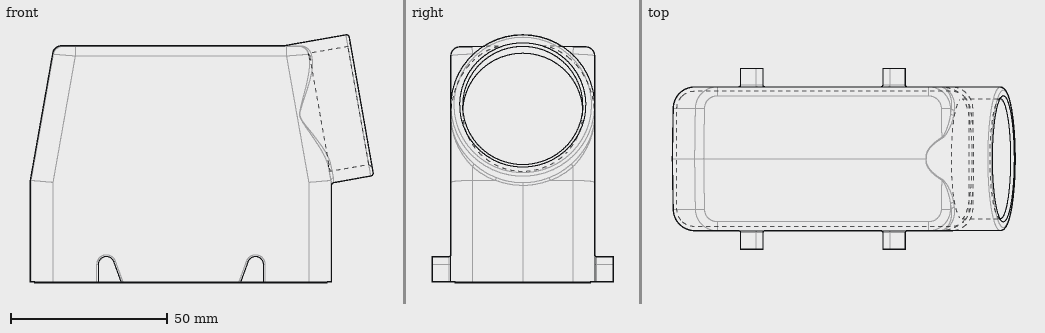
import cadquery as cq
import math

body_length = 96.5
body_width = 46.1
body_height = 75.7
straight_height = 32.5
tilt = 10
draft = 1
corner_radius = 7.0
roof_radius = 3.0

lip_height = 0.3
lip_inset = 1.4

tube_clearance = 0.05
tube_radius = body_width / 2 - tube_clearance
tube_end_x = 57.8
tube_end_z = 56.7
tube_rim_radius = 1.0
bore_radius = 19.2
bore_chamfer = 1.0
joint_radius = 0.9

pin_span = 52.8
pin_tip_width = 58.0
pin_height = 8.1
pin_radius = 2.5
pin_slope = 20
pin_root_radius = 0.5

half_length = body_length / 2
half_width = body_width / 2
tilt_sin = math.sin(math.radians(tilt))
tilt_cos = math.cos(math.radians(tilt))
tilt_tan = math.tan(math.radians(tilt))
overlap = 2.2
roof_margin = 1.1
tolerance = 0.01

wall_to_tube_end = (tube_end_x - half_length) * tilt_cos + (tube_end_z - straight_height) * tilt_sin
tube_root_depth = 11.0
tube_length = wall_to_tube_end + tube_root_depth


def half_body():
    """The -Y half, drafted from the mid plane, with rounded corners and roof edges."""
    roof_half_length = half_length - (body_height - straight_height) * tilt_tan
    half = (
        cq.Workplane("XZ")
        .moveTo(-half_length, -overlap)
        .lineTo(half_length, -overlap)
        .lineTo(half_length, straight_height)
        .lineTo(roof_half_length, body_height)
        .lineTo(-roof_half_length, body_height)
        .lineTo(-half_length, straight_height)
        .close()
        .extrude(half_width, taper=draft)
    )
    below = cq.Workplane("XY").rect(2 * body_length, 2 * body_width).extrude(-2 * overlap)
    half = half.cut(below)
    upright_edges = cq.selectors.BoxSelector(
        (-body_length, -half_width - tolerance, roof_margin),
        (body_length, -half_width + tolerance, body_height - roof_margin),
    )
    half = half.edges(upright_edges).fillet(corner_radius)
    roof = half.faces(cq.selectors.NearestToPointSelector((0, -half_width / 2, body_height)))
    return roof.edges("not(>Y)").fillet(roof_radius)


def tube_plane():
    """Plane of the tube mouth, with its normal pointing out of the tube."""
    return cq.Plane(
        origin=(tube_end_x, 0, tube_end_z),
        xDir=(-tilt_sin, 0, tilt_cos),
        normal=(tilt_cos, 0, tilt_sin),
    )


def lip():
    """Thin rounded plate that stands proud of the base."""
    return (
        cq.Workplane("XY")
        .rect(body_length - 2 * lip_inset, body_width - 2 * lip_inset)
        .extrude(-lip_height)
        .edges("|Z")
        .fillet(corner_radius - lip_inset)
    )


def distance_from_tube_axis(point):
    across = (point.z - tube_end_z) * tilt_cos - (point.x - tube_end_x) * tilt_sin
    return math.hypot(point.y, across)


def runs_around_tube(edge):
    """True for the edges where the tube meets the body, not for its straight seam or its mouth."""
    along = [edge.positionAt(step / 4) for step in (1, 2, 3)]
    on_skin = all(abs(distance_from_tube_axis(point) - tube_radius) < tolerance for point in along)
    behind_mouth = edge.Center().x < half_length
    return on_skin and behind_mouth and edge.geomType() != "LINE"


def add_tube(body):
    """Leaning cable tube with a blended joint, a rounded rim and a chamfered blind bore."""
    tube = cq.Workplane(tube_plane()).circle(tube_radius).extrude(-tube_length)
    tube = tube.faces(">X").edges().fillet(tube_rim_radius)
    joined = body.union(tube)
    joint = [edge for edge in joined.edges().vals() if runs_around_tube(edge)]
    joined = joined.newObject(joint).fillet(joint_radius)
    bore = cq.Workplane(tube_plane()).circle(bore_radius).extrude(-wall_to_tube_end)
    mouth = cq.Solid.makeCone(
        bore_radius + bore_chamfer,
        bore_radius,
        bore_chamfer,
        pnt=tube_plane().origin,
        dir=-tube_plane().zDir,
    )
    return joined.cut(bore).cut(mouth)


def pin_pair():
    """Profile with plumb outer flank, round top and leaning inner flank, run through the solid body."""
    centre_x = pin_radius - pin_span / 2
    centre_z = pin_height - pin_radius
    slope = math.radians(pin_slope)
    flank_x = centre_x + pin_radius * math.cos(slope)
    flank_z = centre_z + pin_radius * math.sin(slope)
    return (
        cq.Workplane("XZ")
        .moveTo(-pin_span / 2, 0)
        .lineTo(-pin_span / 2, centre_z)
        .threePointArc((centre_x, pin_height), (flank_x, flank_z))
        .lineTo(flank_x + flank_z * math.tan(slope), 0)
        .close()
        .extrude(pin_tip_width / 2, both=True)
    )


def is_pin_root(edge):
    """True for the edges where a pin leaves a side wall."""
    centre = edge.Center()
    on_wall = abs(abs(centre.y) - half_width) < tolerance
    return on_wall and abs(centre.x) < half_length - corner_radius and tolerance < centre.z < pin_height


def add_pins(body):
    pair = pin_pair()
    pinned = body.union(pair).union(pair.mirror("YZ"))
    roots = [edge for edge in pinned.edges().vals() if is_pin_root(edge)]
    return pinned.newObject(roots).fillet(pin_root_radius)


half = half_body()
body = half.union(half.mirror("XZ"))
result = add_pins(add_tube(body)).union(lip())